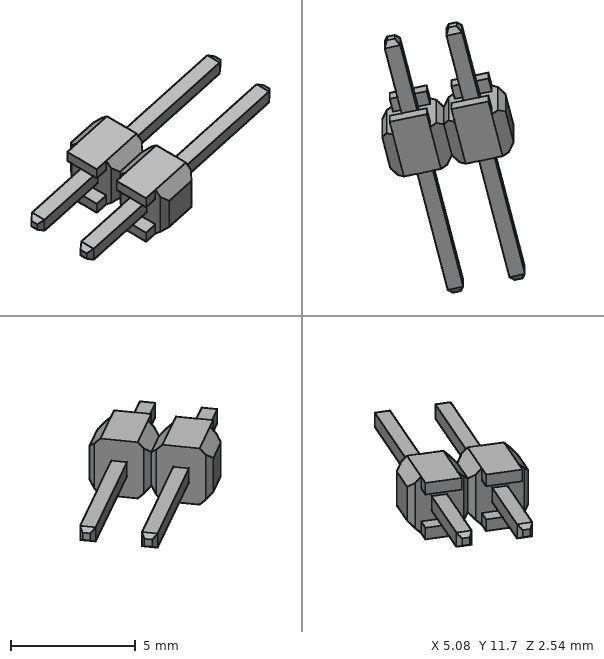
import cadquery as cq

pin_count = 2
housing_width = 5.08
pitch = housing_width / pin_count
cell_height = pitch
first_cell_x = -(pin_count - 1) * pitch / 2
cell_centers = [first_cell_x + i * pitch for i in range(pin_count)]

block_depth = 1.94
foot_length = 0.6
foot_thickness = 0.53
long_chamfer = pitch / 5
upright_chamfer = pitch / 10
foot_width = pitch - 2 * long_chamfer

pin_length = 11.68
pin_back_length = 6.1
pin_size = 0.64
tip_size = pin_size / 2
tip_length = 0.26
shank_length = pin_length - 2 * tip_length
shank_front_y = pin_back_length - pin_length + tip_length
shank_back_y = pin_back_length - tip_length


def make_cell(x):
    """One housing cell: a chamfered block with a foot above and below the pin."""
    block = (
        cq.Workplane("XY")
        .box(pitch, block_depth, cell_height)
        .edges("|Y")
        .chamfer(long_chamfer)
    )
    upright_limit = (
        cq.Workplane("XY")
        .box(pitch, block_depth, cell_height)
        .edges("|Z")
        .chamfer(upright_chamfer)
    )
    cell = block.intersect(upright_limit).translate((0, -block_depth / 2, 0))
    foot_y = -block_depth - foot_length / 2
    foot_z = (cell_height - foot_thickness) / 2
    for side in (-1, 1):
        foot = cq.Workplane("XY").box(foot_width, foot_length, foot_thickness)
        cell = cell.union(foot.translate((0, foot_y, side * foot_z)))
    return cell.translate((x, 0, 0))


def make_tip(x, base_y, direction):
    """Square taper from the shank end at base_y; direction is +1 or -1 along Y."""
    base = cq.Plane(origin=(x, base_y, 0), xDir=(1, 0, 0), normal=(0, direction, 0))
    return (
        cq.Workplane(base)
        .rect(pin_size, pin_size)
        .workplane(offset=tip_length)
        .rect(tip_size, tip_size)
        .loft(ruled=True)
    )


def make_pin(x):
    """One straight square pin, tapered at both ends."""
    shank_center_y = (shank_front_y + shank_back_y) / 2
    shank = cq.Workplane("XY").box(pin_size, shank_length, pin_size)
    return (
        shank.translate((x, shank_center_y, 0))
        .union(make_tip(x, shank_back_y, 1))
        .union(make_tip(x, shank_front_y, -1))
    )


def make_housing(pins):
    """All cells joined side by side, with a matching hole for each pin."""
    housing = make_cell(cell_centers[0])
    for x in cell_centers[1:]:
        housing = housing.union(make_cell(x))
    for pin in pins:
        housing = housing.cut(pin)
    return housing


pins = [make_pin(x) for x in cell_centers]
housing = make_housing(pins)

result = cq.Compound.makeCompound([housing.solids().val(), *[pin.solids().val() for pin in pins]])